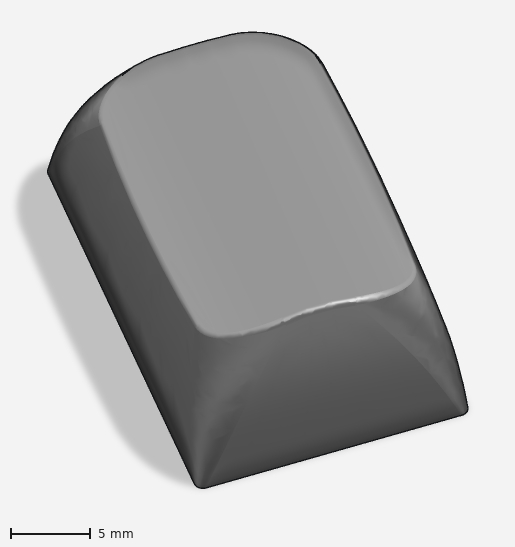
import cadquery as cq

length = 27.8
width = 18.25
height = 11.37

inset_at_top = 2.5
inset_power = 2.6

base_corner_radius = 0.58
corner_growth = 0.35

bow_radius_at_top = 139.0

crown_radius = 15.85
top_edge_radius = 0.55

section_count = 7
loft_top = height + 0.55


def wall_inset(z):
    """Distance that the wall has moved inward at height z."""
    return inset_at_top * (z / height) ** inset_power


def section(z):
    """Rounded, slightly bowed rectangle at height z."""
    half_x = length / 2 - wall_inset(z)
    half_y = width / 2 - wall_inset(z)
    curvature = z / height / bow_radius_at_top
    corner_x = half_x - half_y**2 * curvature / 2
    corner_y = half_y - half_x**2 * curvature / 2
    outline = cq.Workplane("XY", origin=(0, 0, z)).moveTo(-corner_x, -corner_y)
    if curvature == 0:
        outline = outline.lineTo(corner_x, -corner_y).lineTo(corner_x, corner_y)
        outline = outline.lineTo(-corner_x, corner_y).close()
    else:
        outline = outline.threePointArc((0, -half_y), (corner_x, -corner_y))
        outline = outline.threePointArc((half_x, 0), (corner_x, corner_y))
        outline = outline.threePointArc((0, half_y), (-corner_x, corner_y))
        outline = outline.threePointArc((-half_x, 0), (-corner_x, -corner_y)).wire()
    wire = outline.val()
    return wire.fillet2D(base_corner_radius + corner_growth * z, wire.Vertices())


def make_body():
    """Smooth loft through evenly spaced sections."""
    heights = [loft_top * i / (section_count - 1) for i in range(section_count)]
    return cq.Workplane(cq.Solid.makeLoft([section(z) for z in heights]))


def make_crown():
    """Cylinder along X whose upper surface forms the top."""
    return (
        cq.Workplane("YZ", origin=(-length, 0, 0))
        .center(0, height - crown_radius)
        .circle(crown_radius)
        .extrude(2 * length)
    )


body = make_body().intersect(make_crown())
result = body.faces(">Z").edges().fillet(top_edge_radius)